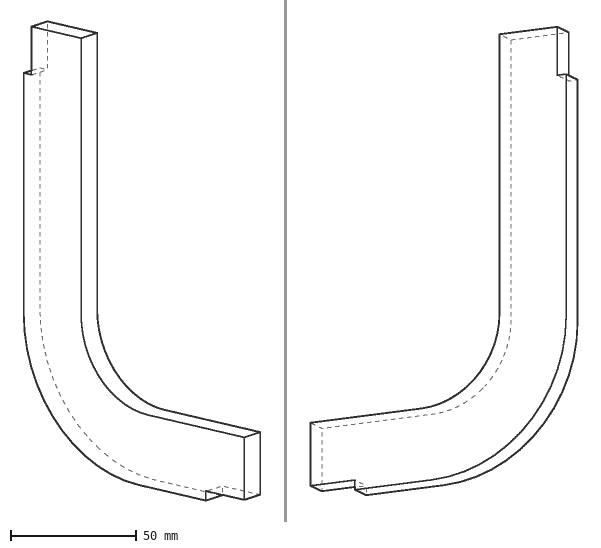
import cadquery as cq

length_x = 115.0
height_z = 180.0
thickness = 10.0
arm_width = 30.0
outer_radius = 60.0
inner_radius = 35.0
step_length = 20.0
step_depth = 4.0


def rounded_angle():
    """L-shaped plate with its outer corner at the origin and the bend rounded inside and out."""
    inner_bend_end = arm_width + inner_radius
    return (
        cq.Workplane("XZ")
        .moveTo(outer_radius, 0)
        .lineTo(length_x, 0)
        .lineTo(length_x, arm_width)
        .lineTo(inner_bend_end, arm_width)
        .radiusArc((arm_width, inner_bend_end), inner_radius)
        .lineTo(arm_width, height_z)
        .lineTo(0, height_z)
        .lineTo(0, outer_radius)
        .radiusArc((outer_radius, 0), -outer_radius)
        .close()
        .extrude(-thickness)
    )


def end_notch(size_x, size_z, corner_x, corner_z):
    """Block that removes a step through the full thickness, placed by its lower left corner."""
    return (
        cq.Workplane("XY")
        .box(size_x, thickness, size_z, centered=False)
        .translate((corner_x, 0, corner_z))
    )


upright_notch = end_notch(step_depth, step_length, 0, height_z - step_length)
foot_notch = end_notch(step_length, step_depth, length_x - step_length, 0)

result = rounded_angle().cut(upright_notch).cut(foot_notch)